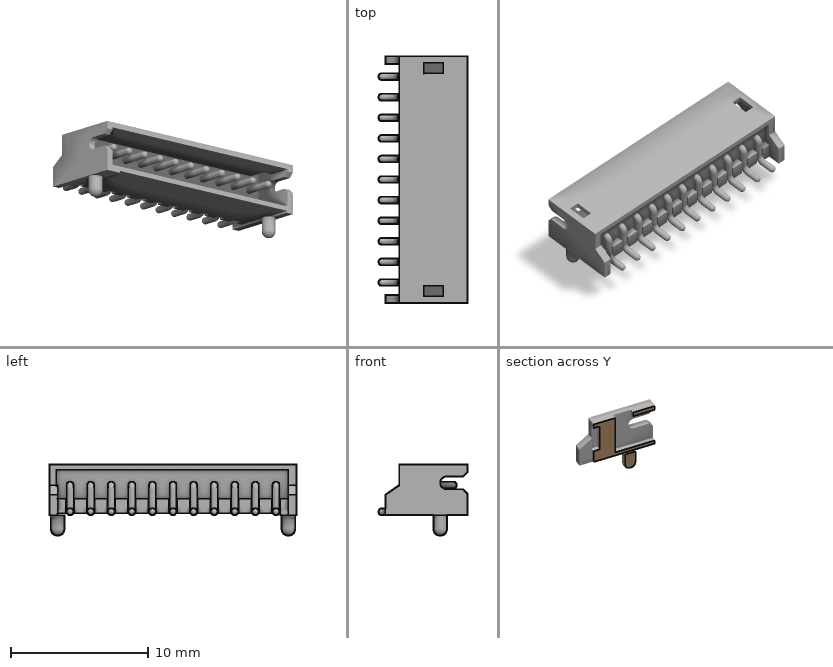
import cadquery as cq

LENGTH = 18.0
DEPTH = 6.0
HEIGHT = 3.7
SHELL_FRONT = 1.0
STANDOFF = 0.15
WALL = 0.5
ROOF = 0.4
FLOOR = 0.35

WING_THICKNESS = 0.6
WING_FRONT_HEIGHT = 1.5
WING_BACK_HEIGHT = 2.2

RECESS_BACK = 1.5
BLOCK_TOP = 1.2
NOTCH_WIDTH = 0.6

CAVITY_FRONT = 2.79
WINDOW_DEPTH = 1.42
WINDOW_WIDTH = 0.75
SLOT_END = 4.0
SLOT_WIDTH = 0.9
SLOT_HEIGHT = 2.35
SLOT_CHAMFER = 0.35

PIN_COUNT = 11
PIN_PITCH = LENGTH / (PIN_COUNT + 1)
PIN_DIAMETER = 0.5
PIN_RADIUS = PIN_DIAMETER / 2
TAIL_REACH = 0.5
RISER_X = 1.17
CONTACT_HEIGHT = 2.2
CONTACT_TIP = 5.2
TAIL_BEND = 0.5
CONTACT_BEND = 0.27

PEG_DIAMETER = 1.0
PEG_LENGTH = 1.5
PEG_X = SLOT_END
PEG_INSET = WING_THICKNESS

PIN_POSITIONS = [(i + 1) * PIN_PITCH - LENGTH / 2 for i in range(PIN_COUNT)]
INNER_LENGTH = LENGTH - 2 * WALL
CEILING = HEIGHT - ROOF


def box(x_min, x_max, y_middle, width, z_min, z_max):
    """Box between two X and two Z limits, centred on y_middle."""
    return cq.Workplane("XY").box(
        x_max - x_min, width, z_max - z_min, centered=(False, True, False)
    ).translate((x_min, y_middle, z_min))


def both_ends(shape):
    """The shape together with its mirror image at the other end."""
    return shape.union(shape.mirror("XZ"))


def make_shell():
    """Shell with front recess, pin notches, mating cavity and roof windows."""
    shell = box(SHELL_FRONT, DEPTH, 0, LENGTH, STANDOFF, HEIGHT)
    recess = box(
        SHELL_FRONT, RECESS_BACK, (WING_THICKNESS - WALL) / 2,
        LENGTH - WING_THICKNESS - WALL, BLOCK_TOP, CEILING,
    )
    cavity = box(CAVITY_FRONT, DEPTH, 0, INNER_LENGTH, STANDOFF + FLOOR, CEILING)
    shell = shell.cut(recess).cut(cavity)
    for y in PIN_POSITIONS:
        shell = shell.cut(box(SHELL_FRONT, RECESS_BACK, y, NOTCH_WIDTH, STANDOFF, BLOCK_TOP))
    window = box(
        CAVITY_FRONT, CAVITY_FRONT + WINDOW_DEPTH,
        (INNER_LENGTH - WINDOW_WIDTH) / 2, WINDOW_WIDTH, CEILING, HEIGHT,
    )
    return shell.cut(both_ends(window))


def make_wings():
    """Sloped wings standing out in front of both ends."""
    wing = (
        cq.Workplane("XZ", origin=(0, LENGTH / 2, 0))
        .polyline([
            (0, 0),
            (0, WING_FRONT_HEIGHT),
            (SHELL_FRONT, WING_BACK_HEIGHT),
            (SHELL_FRONT, 0),
        ])
        .close()
        .extrude(WING_THICKNESS)
    )
    return both_ends(wing)


def make_feet():
    """Low feet under both ends; the one at -Y reaches in to the first pin notch."""
    wide_foot = PIN_PITCH - NOTCH_WIDTH / 2
    near_foot = box(SHELL_FRONT, DEPTH, (wide_foot - LENGTH) / 2, wide_foot, 0, STANDOFF)
    far_foot = box(SHELL_FRONT, DEPTH, (LENGTH - WING_THICKNESS) / 2, WING_THICKNESS, 0, STANDOFF)
    return near_foot.union(far_foot)


def make_slot():
    """Round-ended slot through both end walls, flared at its mouth."""
    half = SLOT_WIDTH / 2
    low = SLOT_HEIGHT - half
    high = SLOT_HEIGHT + half
    return (
        cq.Workplane("XZ")
        .moveTo(SLOT_END + half, low)
        .lineTo(DEPTH - SLOT_CHAMFER, low)
        .lineTo(DEPTH, low - SLOT_CHAMFER)
        .lineTo(DEPTH, high + SLOT_CHAMFER)
        .lineTo(DEPTH - SLOT_CHAMFER, high)
        .lineTo(SLOT_END + half, high)
        .threePointArc((SLOT_END, SLOT_HEIGHT), (SLOT_END + half, low))
        .close()
        .extrude(LENGTH / 2, both=True)
    )


def rod(start, direction, length):
    """Straight piece of pin wire."""
    cylinder = cq.Solid.makeCylinder(PIN_RADIUS, length, cq.Vector(*start), cq.Vector(*direction))
    return cq.Workplane(cylinder)


def ball(x, z):
    """Rounded end of a pin."""
    return cq.Workplane("YZ").sphere(PIN_RADIUS).translate((x, 0, z))


def make_pin():
    """Wire from the tail, up the riser and back into the cavity, both ends rounded."""
    tail_start = PIN_RADIUS - TAIL_REACH
    tail_end = RISER_X - TAIL_BEND
    riser_low = PIN_RADIUS + TAIL_BEND
    riser_high = CONTACT_HEIGHT - CONTACT_BEND
    contact_start = RISER_X + CONTACT_BEND
    contact_end = CONTACT_TIP - PIN_RADIUS
    tail_bend = (
        cq.Workplane("YZ", origin=(tail_end, 0, PIN_RADIUS))
        .circle(PIN_RADIUS)
        .revolve(90, (0.18, TAIL_BEND, 0), (0, TAIL_BEND, 0))
    )
    contact_bend = (
        cq.Workplane("XY", origin=(RISER_X, 0, riser_high))
        .circle(PIN_RADIUS)
        .revolve(90, (CONTACT_BEND, 0, 0), (CONTACT_BEND, 1, 0))
    )
    return (
        rod((tail_start, 0, PIN_RADIUS), (1, 0, 0), tail_end - tail_start)
        .union(ball(tail_start, PIN_RADIUS))
        .union(tail_bend)
        .union(rod((RISER_X, 0, riser_low), (0, 0, 1), riser_high - riser_low))
        .union(contact_bend)
        .union(rod((contact_start, 0, CONTACT_HEIGHT), (1, 0, 0), contact_end - contact_start))
        .union(ball(contact_end, CONTACT_HEIGHT))
    )


def make_pegs():
    """Round-nosed pegs below both ends."""
    radius = PEG_DIAMETER / 2
    straight = PEG_LENGTH - radius
    peg = (
        cq.Workplane("XY")
        .circle(radius)
        .extrude(-straight)
        .union(cq.Workplane("XY").sphere(radius).translate((0, 0, -straight)))
        .translate((PEG_X, LENGTH / 2 - PEG_INSET, 0))
    )
    return both_ends(peg)


result = make_shell().union(make_feet()).union(make_wings()).cut(make_slot()).union(make_pegs())
pin = make_pin()
for y in PIN_POSITIONS:
    result = result.union(pin.translate((0, y, 0)))